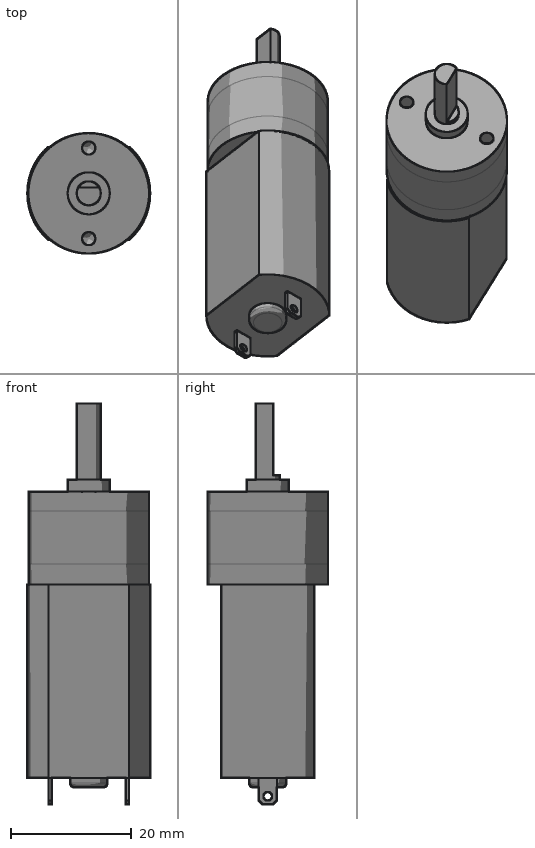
import cadquery as cq
import math

terminal_length = 4.4
can_height = 32.0
gearbox_section_heights = [3.4, 8.75, 3.25]
front_boss_height = 2.0
total_height = 66.4

can_diameter = 20.4
can_width_over_flats = 15.4

gearbox_diameter = 20.0
mounting_hole_diameter = 2.2
mounting_hole_spacing = 15.0
mounting_hole_depth = gearbox_section_heights[-1]
drill_point_angle = 118

front_boss_diameter = 7.0
shaft_diameter = 4.0
shaft_flat_offset = 0.9
shaft_round_length = 0.7

rear_boss_diameter = 6.2
rear_boss_height = 1.6
rear_boss_rounding = 0.7

terminal_thickness = 0.6
terminal_width = 3.0
terminal_outer_spacing = 13.4
terminal_chamfer = 0.6
terminal_hole_diameter = 1.4
terminal_hole_height = 1.3

can_bottom = terminal_length
can_top = can_bottom + can_height
gearbox_top = can_top + sum(gearbox_section_heights)
front_boss_top = gearbox_top + front_boss_height
shaft_length = total_height - front_boss_top


def cylinder(diameter, bottom, height):
    return cq.Workplane("XY").workplane(offset=bottom).circle(diameter / 2).extrude(height)


def make_can():
    flats = (
        cq.Workplane("XY")
        .workplane(offset=can_bottom)
        .rect(can_diameter, can_width_over_flats)
        .extrude(can_height)
    )
    return cylinder(can_diameter, can_bottom, can_height).intersect(flats)


def make_gearbox():
    """Stack the ring sections, keeping the joint lines between them."""
    gearbox = cq.Workplane("XY")
    bottom = can_top
    for height in gearbox_section_heights:
        gearbox = gearbox.add(cylinder(gearbox_diameter, bottom, height))
        bottom += height
    return gearbox.combine(clean=False)


def make_mounting_hole(centre_y):
    """Blind drilled hole in the gearbox face, ending in a drill point."""
    radius = mounting_hole_diameter / 2
    point_depth = radius / math.tan(math.radians(drill_point_angle / 2))
    return (
        cq.Workplane("XZ")
        .lineTo(radius, 0)
        .lineTo(radius, -mounting_hole_depth)
        .lineTo(0, -mounting_hole_depth - point_depth)
        .close()
        .revolve(360, (0, 0), (0, 1))
        .translate((0, centre_y, gearbox_top))
    )


def make_shaft():
    """Round shaft with a flat on its +Y side that stops just above the boss."""
    flat_cut = (
        cq.Workplane("XY")
        .workplane(offset=front_boss_top + shaft_round_length)
        .center(0, shaft_flat_offset + shaft_diameter / 2)
        .rect(shaft_diameter, shaft_diameter)
        .extrude(shaft_length)
    )
    return cylinder(shaft_diameter, front_boss_top, shaft_length).cut(flat_cut)


def make_rear_boss():
    boss = cylinder(rear_boss_diameter, can_bottom - rear_boss_height, rear_boss_height)
    return boss.faces("<Z").edges().fillet(rear_boss_rounding)


def make_terminal(side):
    """Flat tab on the -X (side = -1) or +X (side = 1) side of the can."""
    centre_x = side * (terminal_outer_spacing - terminal_thickness) / 2
    tab = (
        cq.Workplane("XY")
        .center(centre_x, 0)
        .rect(terminal_thickness, terminal_width)
        .extrude(terminal_length)
        .faces("<Z")
        .edges("|X")
        .chamfer(terminal_chamfer)
    )
    eyelet = (
        cq.Workplane("YZ")
        .workplane(offset=centre_x)
        .center(0, terminal_hole_height)
        .circle(terminal_hole_diameter / 2)
        .extrude(terminal_thickness, both=True)
    )
    return tab.cut(eyelet)


result = make_can().union(make_rear_boss())
for side in (-1, 1):
    result = result.union(make_terminal(side))
result = result.union(make_gearbox(), clean=False)
result = result.union(cylinder(front_boss_diameter, gearbox_top, front_boss_height), clean=False)
result = result.union(make_shaft(), clean=False)
for side in (-1, 1):
    result = result.cut(make_mounting_hole(side * mounting_hole_spacing / 2), clean=False)